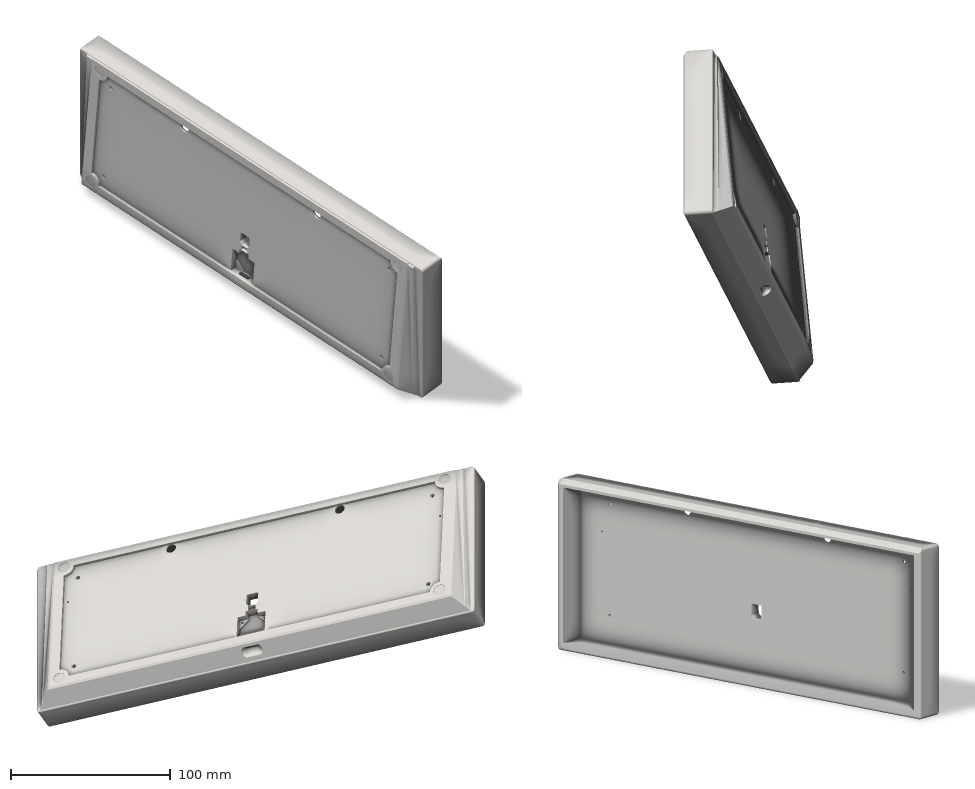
import cadquery as cq
import math

WIDTH = 295.7
DEPTH = 29.6
HEIGHT = 110.2

BOX_DEPTH = 18.8
CORNER_RADIUS = 2.0
OPEN_EDGE_RADIUS = 1.8
BACK_EDGE_RADIUS = 0.9
TOP_BEVEL_DEPTH = 2.6
TOP_BEVEL_DROP = 3.2

WALL = 5.0
CAVITY_DEPTH = 17.6

RIM_WIDTH = 271.8
RIM_TILT = 5.35
RIM_BOTTOM_Z = -47.0
RIM_CHAMFER = 0.9
BASE_END_ANGLE = 40.0
BASE_HALF_HEIGHT = HEIGHT / 2 - BACK_EDGE_RADIUS
BASE_ROOT_Y = -CAVITY_DEPTH
RIM_CORNER_Y = -DEPTH - RIM_CHAMFER * math.sin(math.radians(RIM_TILT))

SHOULDER_TOP_WIDTH = 282.5
SHOULDER_BOTTOM_WIDTH = 290.5
SHOULDER_TOP_STEP = 1.2
SHOULDER_BOTTOM_STEP = 3.2
SHOULDER_TAPER = 35.0

RECESS_WIDTH = 257.2
RECESS_HEIGHT = 89.4
RECESS_CENTRE_Z = 4.0
RECESS_DEPTH = 2.0
RECESS_CORNER_RADIUS = 6.5
FOOT_DIAMETER = 8.0
FOOT_SEAT_DEPTH = 0.4

CORD_HOLE_DIAMETER = 6.6
CORD_HOLE_X = 57.0
CORD_HOLE_Z = 45.3
SCREW_X = 119.8
SCREW_ZS = (39.2, -32.0)
SCREW_DIAMETER = 2.0
SCREW_SEAT_DIAMETER = 3.0
SCREW_SEAT_DEPTH = 1.0
PIN_HOLE_DIAMETER = 1.57
PIN_X = 125.8
PIN_Z = 21.0

RECESS_BOTTOM_Z = RECESS_CENTRE_Z - RECESS_HEIGHT / 2
POCKET_WIDTH = 19.0
POCKET_HEIGHT = 17.6
POCKET_DEPTH = 5.5
NECK_WIDTH = 8.0
NECK_HEIGHT = 3.4
POCKET_TOP_Z = RECESS_BOTTOM_Z + POCKET_HEIGHT
NECK_TOP_Z = POCKET_TOP_Z + NECK_HEIGHT
PAD_LEG = 6.4
PAD_HEIGHT = 1.5
PAD_HOLE_DIAMETER = 1.57
PAD_HOLE_INSET = 2.0
PAD_HOLE_DEPTH = 3.5

CHANNEL_WIDTH = 5.0
CHANNEL_DEPTH = 3.0
WINDOW_WIDTH = 8.0
WINDOW_TOP_Z = -6.7
WINDOW_BOTTOM_Z = -16.0
WINDOW_TAPER = 2.0
WINDOW_CORNER_RADIUS = 1.0

PLUG_LENGTH = 14.0
PLUG_HEIGHT = 5.8
PLUG_TOP_Z = -45.5
SOCKET_LENGTH = 9.0
SOCKET_HEIGHT = 3.2
SOCKET_Y = -24.4
SOCKET_OVERRUN = 1.0
SOCKET_TOP_Z = RECESS_BOTTOM_Z + SOCKET_OVERRUN


def rim_y(z):
    """Y of the tilted rim plane at height z."""
    return RIM_CORNER_Y + (z - RIM_BOTTOM_Z) * math.tan(math.radians(RIM_TILT))


def rim_plane(z=0.0, sink=0.0):
    """Plane on the rim at height z, facing out, moved inward by sink."""
    tilt = math.radians(RIM_TILT)
    normal = (0, -math.cos(tilt), math.sin(tilt))
    origin = (0, rim_y(z) - sink * normal[1], z - sink * normal[2])
    return cq.Plane(origin=origin, xDir=(1, 0, 0), normal=normal)


def rim_cross_plane():
    """Plane square to the upward direction of the rim: local x is X, local y points into the part."""
    rim = rim_plane()
    return cq.Plane(origin=rim.origin, xDir=rim.xDir, normal=rim.yDir)


def back_plane(y):
    """Plane at the given Y facing -Y, with local axes X and Z."""
    return cq.Plane(origin=(0, y, 0), xDir=(1, 0, 0), normal=(0, -1, 0))


def make_box():
    """Rounded box, bevelled along the top edge of its open side."""
    box = cq.Workplane(back_plane(0)).rect(WIDTH, HEIGHT).extrude(BOX_DEPTH)
    box = box.edges("|Y").fillet(CORNER_RADIUS)
    box = box.faces(">Y").edges().fillet(OPEN_EDGE_RADIUS)
    box = box.faces("<Y").edges().fillet(BACK_EDGE_RADIUS)
    bevel = cq.Workplane("YZ").moveTo(0, HEIGHT / 2).lineTo(-TOP_BEVEL_DEPTH, HEIGHT / 2)
    bevel = bevel.lineTo(0, HEIGHT / 2 - TOP_BEVEL_DROP).close().extrude(WIDTH / 2, both=True)
    return box.cut(bevel)


def make_shoulder():
    """Trapezoid with tapered sides, cut down to a face that tilts outward toward the bottom."""
    top = SHOULDER_TOP_WIDTH / 2
    bottom = SHOULDER_BOTTOM_WIDTH / 2
    outline = [
        (-bottom, -BASE_HALF_HEIGHT),
        (bottom, -BASE_HALF_HEIGHT),
        (top, BASE_HALF_HEIGHT),
        (-top, BASE_HALF_HEIGHT),
    ]
    shoulder = cq.Workplane(back_plane(-BOX_DEPTH)).polyline(outline).close()
    shoulder = shoulder.extrude(SHOULDER_BOTTOM_STEP, taper=SHOULDER_TAPER)
    profile = [
        (-BOX_DEPTH, BASE_HALF_HEIGHT),
        (-BOX_DEPTH - SHOULDER_TOP_STEP, BASE_HALF_HEIGHT),
        (-BOX_DEPTH - SHOULDER_BOTTOM_STEP, -BASE_HALF_HEIGHT),
        (-BOX_DEPTH, -BASE_HALF_HEIGHT),
    ]
    limit = cq.Workplane("YZ").polyline(profile).close().extrude(WIDTH / 2, both=True)
    return shoulder.intersect(limit)


def make_base():
    """Wedge with a sloped bottom, its ends splaying outward from the rim."""
    profile = [
        (BASE_ROOT_Y, BASE_HALF_HEIGHT),
        (rim_y(BASE_HALF_HEIGHT), BASE_HALF_HEIGHT),
        (RIM_CORNER_Y, RIM_BOTTOM_Z),
        (-BOX_DEPTH, -BASE_HALF_HEIGHT),
        (BASE_ROOT_Y, -BASE_HALF_HEIGHT),
    ]
    wedge = cq.Workplane("YZ").polyline(profile).close().extrude(WIDTH / 2, both=True)
    rim_half = RIM_WIDTH / 2
    root_half = rim_half + DEPTH * math.tan(math.radians(BASE_END_ANGLE))
    end_section = [
        (-rim_half, 0),
        (rim_half, 0),
        (root_half, DEPTH),
        (-root_half, DEPTH),
    ]
    ends = cq.Workplane(rim_cross_plane()).polyline(end_section).close().extrude(HEIGHT, both=True)
    base = wedge.intersect(ends)
    rim = base.faces("<Y")
    return rim.edges("not >Z").chamfer(RIM_CHAMFER)


def make_cavity():
    cavity = cq.Workplane(back_plane(0)).rect(WIDTH - 2 * WALL, HEIGHT - 2 * WALL)
    return cavity.extrude(CAVITY_DEPTH)


def recess_corners():
    """Workplane on the rim holding the four recess corner points."""
    rim = cq.Workplane(rim_plane(RECESS_CENTRE_Z))
    return rim.rect(RECESS_WIDTH, RECESS_HEIGHT, forConstruction=True).vertices()


def make_recess():
    recess = cq.Workplane(rim_plane(RECESS_CENTRE_Z)).rect(RECESS_WIDTH, RECESS_HEIGHT)
    recess = recess.extrude(-RECESS_DEPTH)
    corners = recess_corners().circle(RECESS_CORNER_RADIUS).extrude(-RECESS_DEPTH)
    seats = recess_corners().circle(FOOT_DIAMETER / 2).extrude(-FOOT_SEAT_DEPTH)
    return recess.cut(corners).union(seats)


def make_holes(points, diameter):
    """Cylinders along Y through the whole part."""
    return cq.Workplane(back_plane(0)).pushPoints(points).circle(diameter / 2).extrude(DEPTH)


def make_screw_holes():
    points = [(side * SCREW_X, z) for side in (-1, 1) for z in SCREW_ZS]
    holes = make_holes(points, SCREW_DIAMETER)
    for x, z in points:
        seat = cq.Workplane(rim_plane(z, RECESS_DEPTH)).center(x, 0)
        holes = holes.union(seat.circle(SCREW_SEAT_DIAMETER / 2).extrude(-SCREW_SEAT_DEPTH))
    return holes


def floor_block(width, bottom_z, top_z, depth):
    """Block sunk below the recess floor between two heights."""
    middle_z = (bottom_z + top_z) / 2
    block = cq.Workplane(rim_plane(middle_z, RECESS_DEPTH)).rect(width, top_z - bottom_z)
    return block.extrude(-depth)


def make_board_pocket():
    """Pocket and neck, less four triangular corner pads with pilot holes."""
    middle_z = (RECESS_BOTTOM_Z + POCKET_TOP_Z) / 2
    half_width = POCKET_WIDTH / 2
    half_height = POCKET_HEIGHT / 2
    half_neck = NECK_WIDTH / 2
    outline = [
        (-half_width, -half_height),
        (half_width, -half_height),
        (half_width, half_height),
        (half_neck, half_height),
        (half_neck, half_height + NECK_HEIGHT),
        (-half_neck, half_height + NECK_HEIGHT),
        (-half_neck, half_height),
        (-half_width, half_height),
    ]
    pocket = cq.Workplane(rim_plane(middle_z, RECESS_DEPTH)).polyline(outline).close()
    pocket = pocket.extrude(-POCKET_DEPTH)
    pocket_floor = RECESS_DEPTH + POCKET_DEPTH
    pad_plane = rim_plane(middle_z, pocket_floor)
    hole_plane = rim_plane(middle_z, pocket_floor - PAD_HEIGHT)
    for side in (-1, 1):
        for end in (-1, 1):
            x = side * half_width
            z = end * half_height
            pad = cq.Workplane(pad_plane).moveTo(x, z).lineTo(x - side * PAD_LEG, z)
            pad = pad.lineTo(x, z - end * PAD_LEG).close().extrude(PAD_HEIGHT)
            hole = cq.Workplane(hole_plane).center(x - side * PAD_HOLE_INSET, z - end * PAD_HOLE_INSET)
            hole = hole.circle(PAD_HOLE_DIAMETER / 2).extrude(-PAD_HOLE_DEPTH)
            pocket = pocket.cut(pad).union(hole)
    return pocket


def make_cable_window():
    """Window through the floor with tapered lower corners, joined to the pocket by a channel."""
    half = WINDOW_WIDTH / 2
    outline = [
        (-half, WINDOW_TOP_Z),
        (half, WINDOW_TOP_Z),
        (half, WINDOW_BOTTOM_Z + WINDOW_TAPER),
        (half - WINDOW_TAPER, WINDOW_BOTTOM_Z),
        (WINDOW_TAPER - half, WINDOW_BOTTOM_Z),
        (-half, WINDOW_BOTTOM_Z + WINDOW_TAPER),
    ]
    window = cq.Workplane(back_plane(0)).polyline(outline).close().extrude(DEPTH)
    window = window.edges("|Y and >Z").fillet(WINDOW_CORNER_RADIUS)
    return window.union(floor_block(CHANNEL_WIDTH, NECK_TOP_Z, WINDOW_BOTTOM_Z, CHANNEL_DEPTH))


def upright_slot(length, height, y, top_z):
    """Rounded slot running up from the underside of the part to top_z."""
    slot = cq.Workplane("XY", origin=(0, y, -HEIGHT / 2)).slot2D(length, height)
    return slot.extrude(top_z + HEIGHT / 2)


def make_socket_opening():
    plug = upright_slot(PLUG_LENGTH, PLUG_HEIGHT, SOCKET_Y, PLUG_TOP_Z)
    return plug.union(upright_slot(SOCKET_LENGTH, SOCKET_HEIGHT, SOCKET_Y, SOCKET_TOP_Z))


def make_part():
    part = make_box().union(make_shoulder()).union(make_base())
    cord_holes = [(side * CORD_HOLE_X, CORD_HOLE_Z) for side in (-1, 1)]
    pin_holes = [(side * PIN_X, PIN_Z) for side in (-1, 1)]
    cutters = (
        make_cavity(),
        make_recess(),
        make_holes(cord_holes, CORD_HOLE_DIAMETER),
        make_holes(pin_holes, PIN_HOLE_DIAMETER),
        make_screw_holes(),
        make_board_pocket(),
        make_cable_window(),
        make_socket_opening(),
    )
    for cutter in cutters:
        part = part.cut(cutter)
    return part


result = make_part()